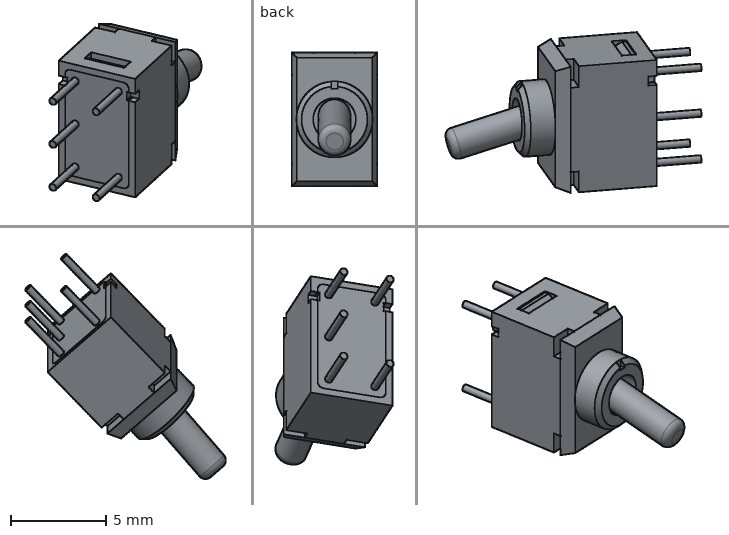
import cadquery as cq
import math


case_width = 4.5
case_height = 7.02
case_length = 4.63
shoulder_length = 0.76
shoulder_inset = 0.28
bushing_diameter = 3.99
bushing_length = 1.6
bushing_chamfer = 0.27
bore_diameter = 2.24
keyway_width = 0.36
keyway_depth = 0.4
shoulder_end = case_length + shoulder_length
bushing_end = shoulder_end + bushing_length

corner_notch_size = 1.16
corner_notch_length = 0.44
side_notch_depth = 0.5
side_notch_length = 0.45
side_notch_z = 2.37

catch_width = 2.32
catch_start = 0.85
catch_shelf_end = 1.06
catch_end = 1.62
catch_shelf_depth = 0.08
catch_depth = 0.37

base_border = 0.37
base_corner_radius = 0.33
base_width = case_width - 2 * base_border
base_height = case_height - 2 * base_border
base_depth = side_notch_length

pin_diameter = 0.4
pin_length = 2.6
pin_pitch = 2.55

lever_diameter = 1.7
lever_round = 0.4
lever_tilt = 14.0
lever_pivot_y = 6.08
lever_tail = 1.07
overall_length = 13.39
lever_radius = lever_diameter / 2
tilt = math.radians(lever_tilt)
lever_tip_y = overall_length - pin_length
lever_reach = lever_round + (
    lever_tip_y - lever_pivot_y - lever_round - (lever_radius - lever_round) * math.sin(tilt)
) / math.cos(tilt)


def box_between(x_range, y_range, z_range):
    """Axis-aligned box between the given limits."""
    size = [limits[1] - limits[0] for limits in (x_range, y_range, z_range)]
    corner = (x_range[0], y_range[0], z_range[0])
    return cq.Workplane("XY").box(*size, centered=False).translate(corner)


def plane_at(y):
    """Workplane facing +Y; its local x is world X and its local y is world -Z."""
    return cq.Workplane(cq.Plane(origin=(0, y, 0), xDir=(1, 0, 0), normal=(0, 1, 0)))


def make_lever():
    tilted = cq.Plane(
        origin=(0, lever_pivot_y, 0),
        xDir=(1, 0, 0),
        normal=(0, math.cos(tilt), -math.sin(tilt)),
    )
    return (
        cq.Workplane(tilted)
        .workplane(offset=-lever_tail)
        .circle(lever_radius)
        .extrude(lever_tail + lever_reach)
        .edges(">Y")
        .fillet(lever_round)
    )


def make_side_notches():
    """Square notches in both long edges of the terminal face."""
    notches = cq.Workplane("XY")
    for side in (-1, 1):
        notch_x = side * (case_width - side_notch_depth) / 2
        notch = cq.Workplane("XY").box(side_notch_depth, side_notch_length, side_notch_depth)
        notches = notches.add(notch.translate((notch_x, side_notch_length / 2, side_notch_z)))
    return notches.combine()


def make_base_blank():
    return plane_at(0).rect(base_width, base_height).extrude(base_depth).edges("|Y").fillet(base_corner_radius)


def make_terminal_base():
    base = make_base_blank().cut(make_side_notches())
    column = pin_pitch / 2
    pin_places = [(-column, -pin_pitch), (-column, 0), (-column, pin_pitch),
                  (column, -pin_pitch), (column, pin_pitch)]
    pins = plane_at(0).pushPoints(pin_places).circle(pin_diameter / 2).extrude(-pin_length)
    return base.union(pins)


def make_bushing():
    bushing = (
        plane_at(shoulder_end)
        .circle(bushing_diameter / 2)
        .extrude(bushing_length)
        .faces(">Y")
        .chamfer(bushing_chamfer)
    )
    keyway = box_between(
        (-keyway_width / 2, keyway_width / 2),
        (bushing_end - bushing_chamfer, bushing_end),
        (bushing_diameter / 2 - keyway_depth, bushing_diameter / 2),
    )
    return bushing.cut(keyway)


def make_shoulder():
    return (
        plane_at(case_length)
        .rect(case_width, case_height)
        .workplane(offset=shoulder_length)
        .rect(case_width - 2 * shoulder_inset, case_height - 2 * shoulder_inset)
        .loft(ruled=True)
    )


def make_corner_notches():
    """Clearances at the four case corners, directly in front of the shoulder."""
    return (
        plane_at(case_length)
        .rect(case_width - corner_notch_size, case_height - corner_notch_size, forConstruction=True)
        .vertices()
        .rect(corner_notch_size, corner_notch_size)
        .extrude(-corner_notch_length)
    )


def make_catch_recess():
    case_top = case_height / 2
    return (
        cq.Workplane("YZ")
        .polyline([
            (catch_start, case_top),
            (catch_start, case_top - catch_shelf_depth),
            (catch_shelf_end, case_top - catch_shelf_depth),
            (catch_end, case_top - catch_depth),
            (catch_end, case_top),
        ])
        .close()
        .extrude(catch_width / 2, both=True)
    )


def make_housing(lever):
    case = plane_at(0).rect(case_width, case_height).extrude(case_length)
    housing = case.union(make_shoulder()).union(make_bushing())
    bore = plane_at(bushing_end).circle(bore_diameter / 2).extrude(-bushing_length)
    return (
        housing.cut(make_corner_notches())
        .cut(make_side_notches())
        .cut(make_base_blank())
        .cut(make_catch_recess())
        .cut(bore)
        .cut(lever)
    )


lever = make_lever()
terminal_base = make_terminal_base()
housing = make_housing(lever)

result = cq.Compound.makeCompound([housing.val(), terminal_base.val(), lever.val()])